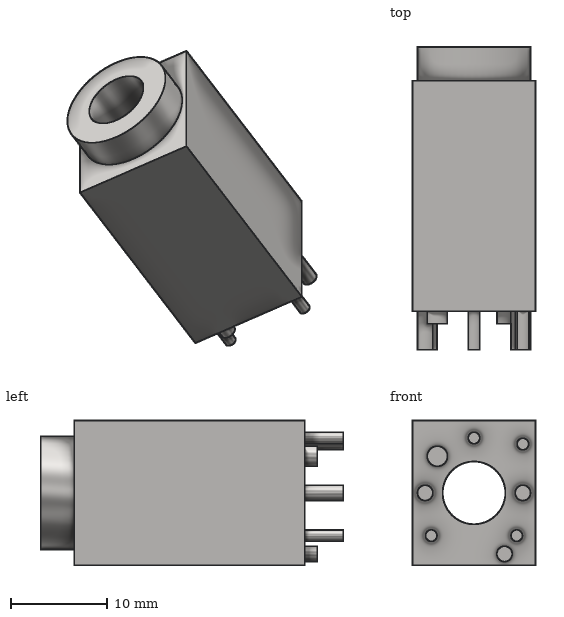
import cadquery as cq

body_width = 12.8
body_length = 24.0
body_height = 15.1

collar_diameter = 11.8
collar_length = 3.5
bore_diameter = 6.5

pin_length = 4.0
peg_length = 1.3
thin_pin_diameter = 1.2
thick_pin_diameter = 1.6
large_peg_diameter = 2.1
small_peg_diameter = 1.6

grid = 2.54
thin_pin_centres = [
    (0, 2.25 * grid),
    (2 * grid, 2 * grid),
    (-1.75 * grid, -1.75 * grid),
    (1.75 * grid, -1.75 * grid),
]
thick_pin_centres = [(-2 * grid, 0), (2 * grid, 0)]
large_peg_centres = [(-1.5 * grid, 1.5 * grid)]
small_peg_centres = [(1.25 * grid, -2.5 * grid)]

pin_face_y = -body_length / 2
collar_face_y = body_length / 2


def plane_at(y):
    """XZ workplane at the given Y; its normal points toward -Y."""
    return cq.Workplane("XZ", origin=(0, y, 0))


def make_body():
    block = cq.Workplane("XY").box(body_width, body_length, body_height)
    collar = plane_at(collar_face_y).circle(collar_diameter / 2).extrude(-collar_length)
    return block.union(collar)


def make_bore():
    bore_length = body_length + collar_length
    return plane_at(pin_face_y).circle(bore_diameter / 2).extrude(-bore_length)


def make_pins(centres, diameter, length):
    """Round pins that stand on the -Y face."""
    return plane_at(pin_face_y).pushPoints(centres).circle(diameter / 2).extrude(length)


result = make_body().cut(make_bore())
for centres, diameter, length in [
    (thin_pin_centres, thin_pin_diameter, pin_length),
    (thick_pin_centres, thick_pin_diameter, pin_length),
    (large_peg_centres, large_peg_diameter, peg_length),
    (small_peg_centres, small_peg_diameter, peg_length),
]:
    result = result.union(make_pins(centres, diameter, length))